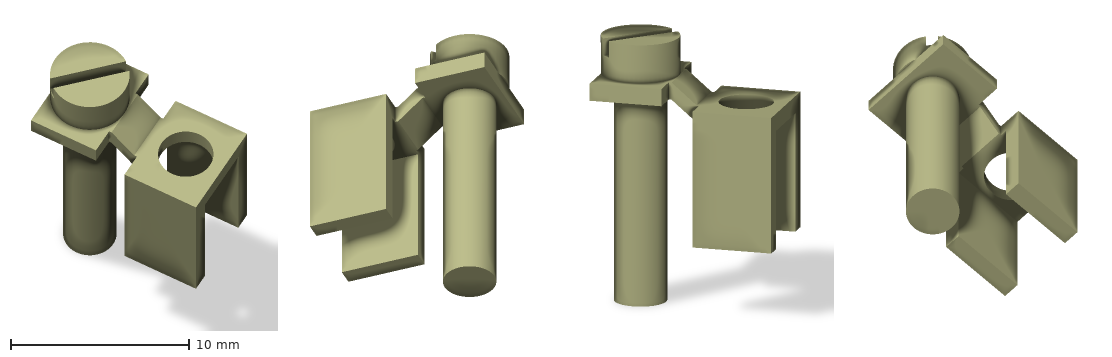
import cadquery as cq

total_height = 15.4
head_diameter = 4.47
head_height = 2.2
shank_diameter = 3.0
slot_width = 0.68
slot_depth = 1.0
slot_angle = 45

sheet = 1.0
plate_length = 4.19
plate_width = 6.0
neck_width = 3.0
neck_drop = 1.22
bend_start = 2.25
bend_end = 3.71
clamp_length = 4.6
clamp_width = 5.82
clamp_height = 7.88
hole_diameter = 3.11

overall_length = 10.72
clamp_end = overall_length - head_diameter / 2
clamp_start = clamp_end - clamp_length
clamp_center = clamp_end - clamp_length / 2


def make_screw():
    """Cheese-head screw with a diagonal driver slot."""
    head = cq.Workplane("XY").circle(head_diameter / 2).extrude(head_height)
    shank_length = total_height - head_height
    shank = cq.Workplane("XY").circle(shank_diameter / 2).extrude(-shank_length)
    slot = (
        cq.Workplane("XY", origin=(0, 0, head_height - slot_depth))
        .transformed(rotate=(0, 0, slot_angle))
        .rect(2 * head_diameter, slot_width)
        .extrude(slot_depth)
    )
    return head.cut(slot).union(shank)


def make_plate():
    """Rectangular plate directly under the screw head."""
    return cq.Workplane("XY").rect(plate_length, plate_width).extrude(-sheet)


def make_neck():
    """Narrow strip stepping down from the plate to the clamp roof."""
    upper_edge = [
        (plate_length / 2, 0),
        (bend_start, 0),
        (bend_end, -neck_drop),
        (clamp_start, -neck_drop),
    ]
    lower_edge = [(x, z - sheet) for x, z in reversed(upper_edge)]
    return (
        cq.Workplane("XZ")
        .polyline(upper_edge + lower_edge)
        .close()
        .extrude(neck_width / 2, both=True)
    )


def make_clamp():
    """Inverted channel with a round hole through its roof."""
    roof = cq.Workplane("XY", origin=(clamp_center, 0, -neck_drop))
    block = roof.rect(clamp_length, clamp_width).extrude(-clamp_height)
    channel = (
        roof.workplane(offset=-sheet)
        .rect(clamp_length, clamp_width - 2 * sheet)
        .extrude(sheet - clamp_height)
    )
    hole = roof.circle(hole_diameter / 2).extrude(-sheet)
    return block.cut(channel).cut(hole)


result = make_screw().union(make_plate()).union(make_neck()).union(make_clamp())